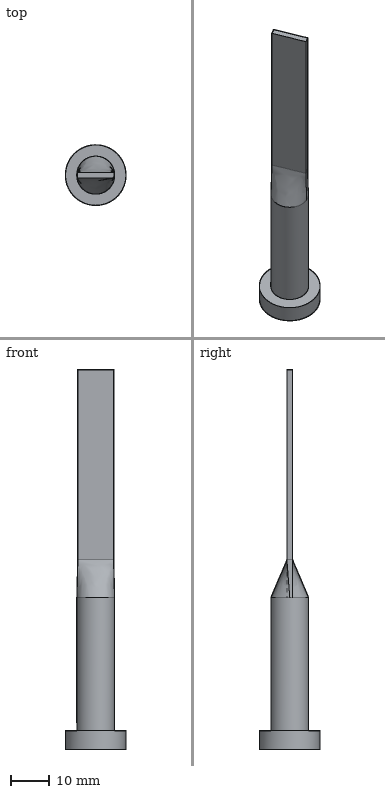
import cadquery as cq

total_length = 100.0
head_diameter = 16.0
head_height = 5.0
shaft_diameter = 10.0
shaft_top = 40.0
blade_bottom = 50.0
blade_width = 9.5
blade_thickness = 1.5

head = cq.Workplane("XY").circle(head_diameter / 2).extrude(head_height)
shaft = cq.Workplane("XY").circle(shaft_diameter / 2).extrude(shaft_top)

neck = (
    cq.Workplane("XY", origin=(0, 0, shaft_top))
    .circle(shaft_diameter / 2)
    .workplane(offset=blade_bottom - shaft_top)
    .rect(blade_width, blade_thickness)
    .loft(ruled=True, combine=True)
)

blade = (
    cq.Workplane("XY", origin=(0, 0, blade_bottom))
    .rect(blade_width, blade_thickness)
    .extrude(total_length - blade_bottom)
)

result = head.union(shaft).union(neck).union(blade)